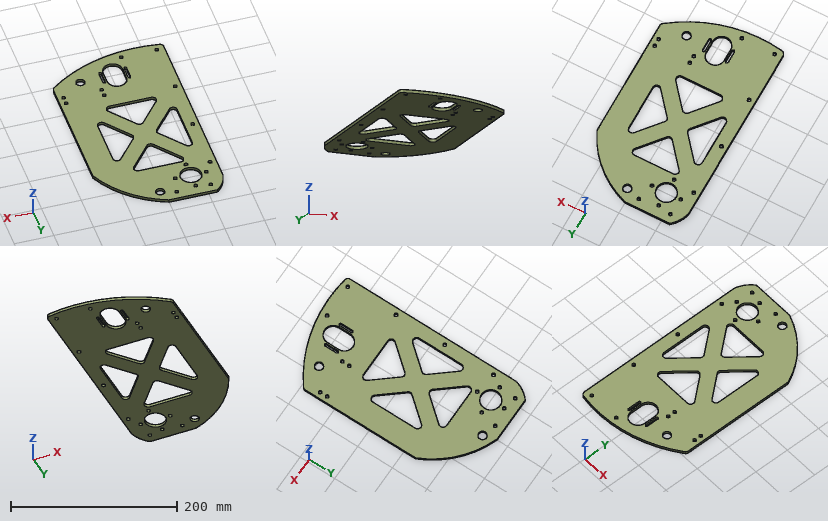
import cadquery as cq
import math


WIDTH = 150.0
LENGTH = 269.91
THICKNESS = 4.0
TOP_Y = 120.4
BOTTOM_Y = TOP_Y - LENGTH
TOP_EDGE_START_X = 13.9
TOP_EDGE_END_X = 75.0
LEFT_EDGE_TOP_Y = 97.4
RIGHT_EDGE_TOP_Y = 52.2
SHOULDER_RADIUS = 40.0
TOP_ARC_RADIUS = 129.0
BOTTOM_ARC_RADIUS = 186.0
BOTTOM_ARC_CENTRE_X = 34.7
BOTTOM_CORNER_RADIUS = 5.0

WINDOW_CENTRE_X = 68.0
WINDOW_WIDTH = 100.0
WINDOW_HEIGHT = 120.0
STRUT_WIDTH = 20.0
WINDOW_CORNER_RADIUS = 5.0

MOTOR_X = 37.0
MOTOR_Y = 85.8
MOTOR_BORE_DIAMETER = 26.5
MOTOR_SCREW_DIAMETER = 4.3
MOTOR_SCREW_CIRCLE_RADIUS = 19.6
MOTOR_SCREW_COUNT = 4

EDGE_HOLE_DIAMETER = 4.5
EDGE_HOLE_X = 8.0
EDGE_HOLE_PITCH = 70.4

MOUNT_HOLE_DIAMETER = 4.2
TOP_MOUNT_Y = 109.0
TOP_MOUNT_XS = (19.0, 62.0)
BOTTOM_MOUNT_Y = -139.0
BOTTOM_MOUNT_XS = (10.0, 54.8)
BRACKET_X = 118.4
BRACKET_Y = -85.5
BRACKET_PITCH_X = 48.0
BRACKET_PITCH_Y = 10.0

LARGE_HOLE_DIAMETER = 11.0
LARGE_HOLE_POINTS = ((81.0, 103.2), (115.0, -110.5))

OPENING_X = 71.6
OPENING_Y = -110.8
OPENING_WIDTH = 24.4
OPENING_LENGTH = 40.5
SIDE_SLOT_OFFSET = 15.9
SIDE_SLOT_WIDTH = 3.2
SIDE_SLOT_LENGTH = 19.5


def make_plate():
    """Plate with a flat top, arched shoulders and a shallow arched bottom."""
    arc_centre_y = BOTTOM_Y + BOTTOM_ARC_RADIUS

    def bottom_arc_y(x):
        return arc_centre_y - math.sqrt(BOTTOM_ARC_RADIUS**2 - (x - BOTTOM_ARC_CENTRE_X) ** 2)

    plate = (
        cq.Workplane("XY")
        .moveTo(0, bottom_arc_y(0))
        .lineTo(0, LEFT_EDGE_TOP_Y)
        .radiusArc((TOP_EDGE_START_X, TOP_Y), SHOULDER_RADIUS)
        .lineTo(TOP_EDGE_END_X, TOP_Y)
        .radiusArc((WIDTH, RIGHT_EDGE_TOP_Y), TOP_ARC_RADIUS)
        .lineTo(WIDTH, bottom_arc_y(WIDTH))
        .threePointArc((BOTTOM_ARC_CENTRE_X, BOTTOM_Y), (0, bottom_arc_y(0)))
        .close()
        .extrude(THICKNESS)
    )
    for x in (0, WIDTH):
        corner = cq.selectors.NearestToPointSelector((x, bottom_arc_y(x), THICKNESS / 2))
        plate = plate.edges("|Z").edges(corner).fillet(BOTTOM_CORNER_RADIUS)
    return plate


def make_windows():
    """Four rounded triangles left between the frame and the crossed struts."""
    half_width = WINDOW_WIDTH / 2
    half_height = WINDOW_HEIGHT / 2
    diagonal = math.hypot(WINDOW_WIDTH, WINDOW_HEIGHT)
    strut_x = STRUT_WIDTH / 2 * diagonal / WINDOW_HEIGHT
    strut_y = STRUT_WIDTH / 2 * diagonal / WINDOW_WIDTH

    windows = cq.Workplane("XY")
    for side in (-1, 1):
        end_triangle = [
            (0, side * strut_y),
            (half_width - strut_x, side * half_height),
            (strut_x - half_width, side * half_height),
        ]
        side_triangle = [
            (side * strut_x, 0),
            (side * half_width, half_height - strut_y),
            (side * half_width, strut_y - half_height),
        ]
        for triangle in (end_triangle, side_triangle):
            window = cq.Workplane("XY").polyline(triangle).close().extrude(THICKNESS)
            windows = windows.add(window.edges("|Z").fillet(WINDOW_CORNER_RADIUS))
    return windows.combine().translate((WINDOW_CENTRE_X, 0, 0))


def cut_holes(plate, points, diameter):
    """Drill through holes at the given plate points."""
    holes = cq.Workplane("XY").pushPoints(points).circle(diameter / 2).extrude(THICKNESS)
    return plate.cut(holes)


def cut_slot(plate, x, y, length, width):
    """Cut a round-ended through slot that runs along Y."""
    slot = cq.Workplane("XY").center(x, y).slot2D(length, width, 90).extrude(THICKNESS)
    return plate.cut(slot)


def cut_motor_mount(plate):
    """Cut the motor bore and its circle of screw holes."""
    screw_points = []
    for index in range(MOTOR_SCREW_COUNT):
        angle = 2 * math.pi * index / MOTOR_SCREW_COUNT
        x = MOTOR_X + MOTOR_SCREW_CIRCLE_RADIUS * math.cos(angle)
        y = MOTOR_Y + MOTOR_SCREW_CIRCLE_RADIUS * math.sin(angle)
        screw_points.append((x, y))
    plate = cut_holes(plate, [(MOTOR_X, MOTOR_Y)], MOTOR_BORE_DIAMETER)
    return cut_holes(plate, screw_points, MOTOR_SCREW_DIAMETER)


def cut_mounting_holes(plate):
    """Drill the left-edge row, the end holes, the bracket pattern and the large holes."""
    edge_points = [(EDGE_HOLE_X, row * EDGE_HOLE_PITCH) for row in (-1, 0, 1)]
    mount_points = [(x, TOP_MOUNT_Y) for x in TOP_MOUNT_XS]
    mount_points += [(x, BOTTOM_MOUNT_Y) for x in BOTTOM_MOUNT_XS]
    for side_x in (-1, 1):
        for side_y in (-1, 1):
            x = BRACKET_X + side_x * BRACKET_PITCH_X / 2
            y = BRACKET_Y + side_y * BRACKET_PITCH_Y / 2
            mount_points.append((x, y))
    plate = cut_holes(plate, edge_points, EDGE_HOLE_DIAMETER)
    plate = cut_holes(plate, mount_points, MOUNT_HOLE_DIAMETER)
    return cut_holes(plate, LARGE_HOLE_POINTS, LARGE_HOLE_DIAMETER)


def cut_opening(plate):
    """Cut the rounded opening and the narrow slots beside it."""
    plate = cut_slot(plate, OPENING_X, OPENING_Y, OPENING_LENGTH, OPENING_WIDTH)
    for side in (-1, 1):
        x = OPENING_X + side * SIDE_SLOT_OFFSET
        plate = cut_slot(plate, x, OPENING_Y, SIDE_SLOT_LENGTH, SIDE_SLOT_WIDTH)
    return plate


plate = make_plate().cut(make_windows())
plate = cut_motor_mount(plate)
plate = cut_mounting_holes(plate)
result = cut_opening(plate)